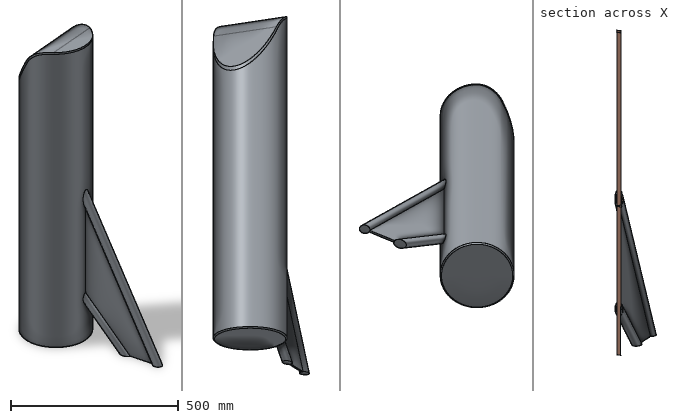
import cadquery as cq
import math

height = 1006.0
column_diameter = 220.0
column_radius = column_diameter / 2
overall_length = 496.0
fin_tip_x = overall_length - column_radius
bottom_chamfer = 4.0

cap_thickness = 6.0
slope_angle = 60.0
crest_radius = 108.0
flat_start_x = 58.0

strut_diameter = 28.0
strut_radius = strut_diameter / 2
rear_strut_angle = 28.2
front_strut_angle = 44.5
front_strut_foot_x = 254.0
rear_strut_foot_x = fin_tip_x - strut_radius / math.cos(math.radians(rear_strut_angle))
web_thickness = 6.0

margin = 50.0


def region_below_top(offset):
    """Everything below the top profile after moving it inward by offset."""
    angle = math.radians(slope_angle)
    radius = crest_radius - offset
    center_z = height - crest_radius
    slope_start_x = flat_start_x - radius * math.sin(angle)
    slope_start_z = center_z + radius * math.cos(angle)
    crest_mid_x = flat_start_x - radius * math.sin(angle / 2)
    crest_mid_z = center_z + radius * math.cos(angle / 2)
    left_x = -column_radius - margin
    right_x = column_radius + margin
    left_z = slope_start_z - (slope_start_x - left_x) * math.tan(angle)
    return (
        cq.Workplane("XZ")
        .moveTo(left_x, 0)
        .lineTo(left_x, left_z)
        .lineTo(slope_start_x, slope_start_z)
        .threePointArc((crest_mid_x, crest_mid_z), (flat_start_x, height - offset))
        .lineTo(right_x, height - offset)
        .lineTo(right_x, 0)
        .close()
        .extrude(column_radius + margin, both=True)
    )


def round_bar():
    """Full-height round bar from which the column and its cap are trimmed."""
    return cq.Workplane("XY").circle(column_radius).extrude(height)


def make_column():
    bar = round_bar().faces("<Z").chamfer(bottom_chamfer)
    return bar.intersect(region_below_top(cap_thickness))


def make_cap():
    return round_bar().intersect(region_below_top(0)).cut(region_below_top(cap_thickness))


def axis_height(foot_x, angle, x):
    """Height of a strut axis at the given x."""
    return (foot_x - x) / math.tan(math.radians(angle))


def strut_stock(foot_x, angle):
    """Strut running from below the ground to inside the column."""
    lean = math.radians(angle)
    direction = cq.Vector(-math.sin(lean), 0, math.cos(lean))
    start = cq.Vector(foot_x, 0, 0) - direction * margin
    length = foot_x / math.sin(lean) + margin
    return cq.Workplane(cq.Solid.makeCylinder(strut_radius, length, start, direction))


def trim_fin_part(stock):
    """Cut a fin part level with the ground and fit it to the column wall."""
    above_ground = cq.Workplane("XY").box(
        2 * overall_length, column_diameter, height, centered=(True, True, False)
    )
    return stock.intersect(above_ground).cut(round_bar())


def make_strut(foot_x, angle):
    return trim_fin_part(strut_stock(foot_x, angle))


def make_web():
    """Web filling the space between the struts and the column."""
    sheet = (
        cq.Workplane("XZ")
        .moveTo(front_strut_foot_x, 0)
        .lineTo(rear_strut_foot_x, 0)
        .lineTo(0, axis_height(rear_strut_foot_x, rear_strut_angle, 0))
        .lineTo(0, axis_height(front_strut_foot_x, front_strut_angle, 0))
        .close()
        .extrude(web_thickness / 2, both=True)
    )
    for foot_x, angle in struts:
        sheet = sheet.cut(strut_stock(foot_x, angle))
    return trim_fin_part(sheet)


struts = [
    (rear_strut_foot_x, rear_strut_angle),
    (front_strut_foot_x, front_strut_angle),
]

column = make_column()
cap = make_cap()
web = make_web()
strut_solids = [make_strut(foot_x, angle).val() for foot_x, angle in struts]

result = cq.Compound.makeCompound([column.val(), cap.val(), web.val(), *strut_solids])